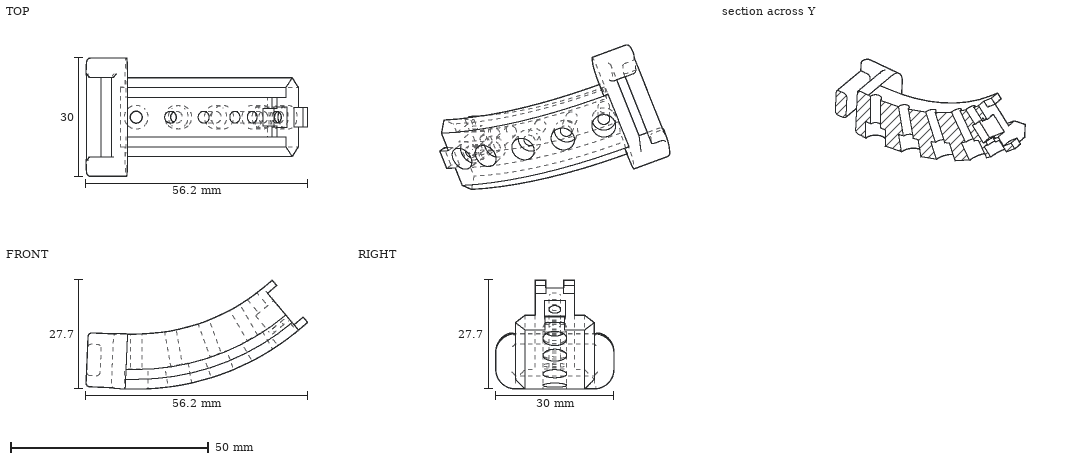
import cadquery as cq

OUTER_RADIUS = 64.0
INNER_RADIUS = 50.0
BODY_HEIGHT = OUTER_RADIUS - INNER_RADIUS
END_ANGLE = 40.0

WEB_WIDTH = 10.0
FLANGE_WIDTH = 20.0
FLANGE_EDGE_WIDTH = 15.0
FLANGE_HEIGHT = 5.0
FOOT_LENGTH = 4.0

LOOP_ANGLE = -2.5
LOOP_LENGTH = 10.0
LOOP_WIDTH = 30.0
LOOP_CORNER_RADIUS = 5.0
LOOP_BACK_WALL = 3.55
LOOP_FILLET = 1.0
SLOT_EXTRA_WIDTH = 0.05
SLOT_WIDTH = LOOP_WIDTH - 2 * LOOP_CORNER_RADIUS + SLOT_EXTRA_WIDTH
SLOT_LENGTH = 3.0
BAR_HEIGHT = 8.0

HOLE_DIAMETER = 3.0
HOLE_ANGLES = (0.0, 10.0, 20.0, 30.0)
END_HOLE_SETBACK = 3.5
COUNTERBORE_DIAMETER = 6.0
COUNTERBORE_DEPTH = 5.15
END_COUNTERBORE_DEPTH = 3.5

JOINT_LENGTH = 3.05
JOINT_THICKNESS = 1.8
PRONG_GAP = 4.5
TONGUE_WIDTH = 5.0
SOCKET_WIDTH = 5.3
SOCKET_FLOOR_RADIUS = 59.5
SOCKET_ROOF_RADIUS = SOCKET_FLOOR_RADIUS - SOCKET_WIDTH
SOCKET_DEPTH = 6.0

OVERSHOOT = 0.55


def at_angle(shape, angle):
    """Carry a shape modelled straight below the axis to an angle along the arc."""
    return shape.rotate((0, 0, 0), (0, 1, 0), -angle)


def block(x_start, x_end, width, small_radius, large_radius):
    """Box centred on Y, between two X positions and two depths below the axis."""
    size = (x_end - x_start, width, large_radius - small_radius)
    box = cq.Workplane("XY").box(*size, centered=(False, True, False))
    return box.translate((x_start, 0, -large_radius))


def rail_section():
    """Cross-section of web and flange, facing +X at the start of the arc."""
    flange_top_radius = OUTER_RADIUS - FLANGE_HEIGHT
    half_outline = [
        (FLANGE_EDGE_WIDTH / 2, -OUTER_RADIUS),
        (FLANGE_WIDTH / 2, -(OUTER_RADIUS - FLANGE_HEIGHT / 2)),
        (FLANGE_EDGE_WIDTH / 2, -flange_top_radius),
        (WEB_WIDTH / 2, -flange_top_radius),
        (WEB_WIDTH / 2, -INNER_RADIUS),
    ]
    mirrored_half = [(-y, z) for y, z in reversed(half_outline)]
    return cq.Workplane("YZ").polyline(half_outline + mirrored_half).close()


def make_rail():
    arc = rail_section().revolve(END_ANGLE, (0, 0, 0), (-1, 0, 0))
    foot = rail_section().extrude(-FOOT_LENGTH)
    return arc.union(foot)


def make_loop():
    body = block(-LOOP_LENGTH, 0, LOOP_WIDTH, INNER_RADIUS, OUTER_RADIUS)
    body = body.edges("|X").fillet(LOOP_CORNER_RADIUS)

    cavity = block(-LOOP_LENGTH, -LOOP_BACK_WALL, SLOT_WIDTH, INNER_RADIUS, OUTER_RADIUS)
    bar_margin = (BODY_HEIGHT - BAR_HEIGHT) / 2
    bar = block(
        -LOOP_LENGTH,
        -LOOP_BACK_WALL - SLOT_LENGTH,
        SLOT_WIDTH,
        INNER_RADIUS + bar_margin,
        OUTER_RADIUS - bar_margin,
    )
    loop = body.cut(cavity.cut(bar))

    side_rims = loop.edges("|X").edges(">X[1]")
    rounded_edges = loop.edges("<X or (|Y and (not >X))").add(side_rims)
    return at_angle(rounded_edges.fillet(LOOP_FILLET), LOOP_ANGLE)


def make_hole(x, counterbore_depth):
    """Screw hole with its counterbore, as a solid to be cut away."""
    outer_face = cq.Workplane("XY", origin=(x, 0, -OUTER_RADIUS))
    bore = outer_face.circle(HOLE_DIAMETER / 2).extrude(BODY_HEIGHT + OVERSHOOT)
    below = outer_face.workplane(offset=-OVERSHOOT)
    counterbore = below.circle(COUNTERBORE_DIAMETER / 2).extrude(OVERSHOOT + counterbore_depth)
    return bore.union(counterbore)


def make_prongs():
    prong_bottom = INNER_RADIUS + JOINT_THICKNESS
    plate = block(0, JOINT_LENGTH, WEB_WIDTH, INNER_RADIUS, prong_bottom)
    gap = block(0, JOINT_LENGTH, PRONG_GAP, INNER_RADIUS, prong_bottom)
    return plate.cut(gap)


def make_tongue():
    return block(0, JOINT_LENGTH, TONGUE_WIDTH, OUTER_RADIUS - JOINT_THICKNESS, OUTER_RADIUS)


def make_socket():
    return block(-SOCKET_DEPTH, 0, SOCKET_WIDTH, SOCKET_ROOF_RADIUS, SOCKET_FLOOR_RADIUS)


result = make_rail().union(make_loop())
result = result.union(at_angle(make_prongs(), END_ANGLE))
result = result.union(at_angle(make_tongue(), END_ANGLE))
result = result.cut(at_angle(make_socket(), END_ANGLE))
for hole_angle in HOLE_ANGLES:
    result = result.cut(at_angle(make_hole(0, COUNTERBORE_DEPTH), hole_angle))
end_hole = make_hole(-END_HOLE_SETBACK, END_COUNTERBORE_DEPTH)
result = result.cut(at_angle(end_hole, END_ANGLE))